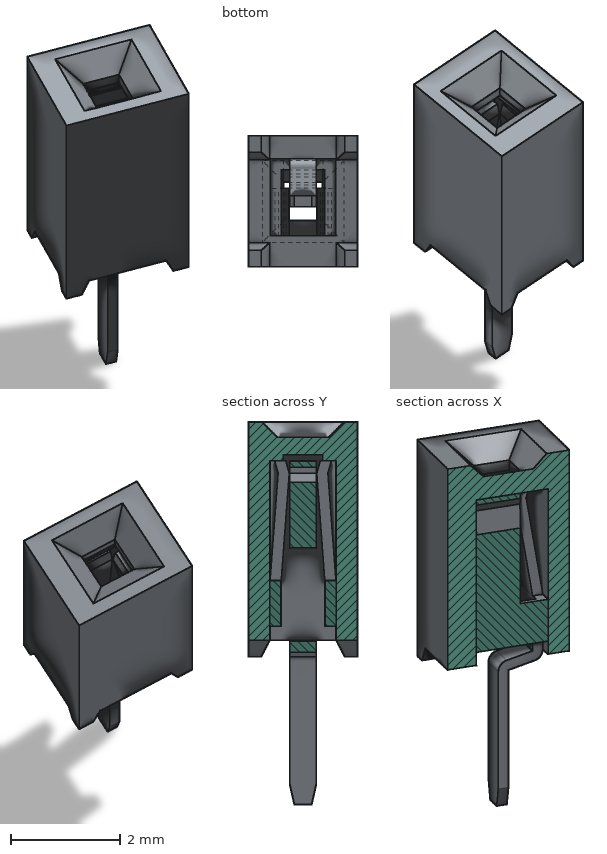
import cadquery as cq
import math


housing_x = 2.0
housing_y = 2.4
housing_top = 4.3
groove_depth = 0.3
groove_along_x_bottom = 1.79
groove_along_x_top = 1.51
groove_along_y_bottom = 1.525
groove_along_y_top = 1.22
bore_side = 0.7
funnel_side = 1.5
funnel_depth = (funnel_side - bore_side) / 2
lip_height = 0.2
relief_x = 0.715
lip_bottom = housing_top - funnel_depth - lip_height

sheet = 0.2
pin_width = 0.49
pin_bottom = housing_top - 7.0
pin_tip_width = 0.32
pin_tip_length = 0.38
step_angle = math.radians(12)
back_inner_y = -0.575
back_outer_y = back_inner_y - sheet
channel_inner_x = 0.4
channel_outer_x = channel_inner_x + sheet
channel_front_y = 0.63
channel_bottom = 0.56
channel_top = 1.4
arm_tip_gap = 0.11
arm_tip_z = lip_bottom - arm_tip_gap
pinch_z = arm_tip_z - 0.225
side_pinch_x = 0.25
side_tip_x = 0.315
side_arm_back_y = -0.24
back_pinch_y = -0.245
back_tip_y = -0.3


def groove(plane, bottom_width, top_width, length):
    """Tapered groove across the underside, extruded both ways from the plane."""
    outline = [
        (-bottom_width / 2, 0),
        (-top_width / 2, groove_depth),
        (top_width / 2, groove_depth),
        (bottom_width / 2, 0),
    ]
    return cq.Workplane(plane).polyline(outline).close().extrude(length / 2, both=True)


def cavity_box(width, top):
    """Box open at the underside, as deep in Y as the contact."""
    return (
        cq.Workplane("XY")
        .center(0, (back_outer_y + channel_front_y) / 2)
        .rect(width, channel_front_y - back_outer_y)
        .extrude(top)
    )


def make_housing():
    block = cq.Workplane("XY").box(housing_x, housing_y, housing_top, centered=(True, True, False))
    groove_along_x = groove("YZ", groove_along_x_bottom, groove_along_x_top, housing_x)
    groove_along_y = groove("XZ", groove_along_y_bottom, groove_along_y_top, housing_y)
    funnel = (
        cq.Workplane("XY", origin=(0, 0, housing_top))
        .rect(funnel_side, funnel_side)
        .workplane(offset=-funnel_depth)
        .rect(bore_side, bore_side)
        .loft(ruled=True)
    )
    bore = cq.Workplane("XY").box(bore_side, bore_side, housing_top, centered=(True, True, False))
    cavity = cavity_box(2 * channel_outer_x, arm_tip_z)
    relief = cavity_box(relief_x, lip_bottom)
    return block.cut(groove_along_x).cut(groove_along_y).cut(funnel).cut(bore).cut(cavity).cut(relief)


def arc_point(center, angle):
    """Point one sheet thickness from a bend centre, in the YZ plane."""
    return (center[0] + sheet * math.cos(angle), center[1] + sheet * math.sin(angle))


def make_pin():
    """Pin, sloping step and back wall: one strip with two bends of sharp inner corner."""
    lower_corner = (-sheet / 2, 0.0)
    normal = math.pi / 2 - step_angle
    lower_arc_end = arc_point(lower_corner, normal)
    upper_corner_z = lower_arc_end[1] + (lower_arc_end[0] - back_inner_y) * math.tan(step_angle)
    upper_corner = (back_inner_y, upper_corner_z)
    strip = (
        cq.Workplane("YZ")
        .moveTo(-sheet / 2, pin_bottom)
        .lineTo(*lower_corner)
        .lineTo(*arc_point(upper_corner, normal + math.pi))
        .threePointArc(
            arc_point(upper_corner, math.pi + normal / 2),
            (back_outer_y, upper_corner_z),
        )
        .lineTo(back_outer_y, channel_top)
        .lineTo(back_inner_y, channel_top)
        .lineTo(*upper_corner)
        .lineTo(*lower_arc_end)
        .threePointArc(arc_point(lower_corner, normal / 2), arc_point(lower_corner, 0))
        .lineTo(sheet / 2, pin_bottom)
        .close()
        .extrude(pin_width / 2, both=True)
    )
    taper_top = pin_bottom + pin_tip_length
    silhouette = (
        cq.Workplane("XZ")
        .polyline([
            (-pin_tip_width / 2, pin_bottom),
            (-pin_width / 2, taper_top),
            (-pin_width / 2, channel_top),
            (pin_width / 2, channel_top),
            (pin_width / 2, taper_top),
            (pin_tip_width / 2, pin_bottom),
        ])
        .close()
        .extrude(housing_y / 2, both=True)
    )
    return strip.intersect(silhouette)


def make_channel():
    """U-shaped wall section that carries the three arms."""
    return (
        cq.Workplane("XY", origin=(0, 0, channel_bottom))
        .polyline([
            (-channel_outer_x, channel_front_y),
            (-channel_outer_x, back_outer_y),
            (channel_outer_x, back_outer_y),
            (channel_outer_x, channel_front_y),
            (channel_inner_x, channel_front_y),
            (channel_inner_x, back_inner_y),
            (-channel_inner_x, back_inner_y),
            (-channel_inner_x, channel_front_y),
        ])
        .close()
        .extrude(channel_top - channel_bottom)
    )


def arm_outline(plane, root, pinch, tip, direction):
    """Arm that leans in to the pinch and flares to its tip; direction is its outward sign."""
    back = direction * sheet
    return (
        plane.polyline([
            (root, channel_top),
            (pinch, pinch_z),
            (tip, arm_tip_z),
            (tip + back, arm_tip_z),
            (pinch + back, pinch_z),
            (root + back, channel_top),
        ])
        .close()
    )


def make_side_arm(side):
    plane = cq.Workplane("XZ", origin=(0, channel_front_y, 0))
    outline = arm_outline(plane, side * channel_inner_x, side * side_pinch_x, side * side_tip_x, side)
    return outline.extrude(channel_front_y - side_arm_back_y)


def make_back_arm():
    outline = arm_outline(cq.Workplane("YZ"), back_inner_y, back_pinch_y, back_tip_y, -1)
    return outline.extrude(pin_width / 2, both=True)


def make_contact():
    contact = make_pin().union(make_channel()).union(make_back_arm())
    for side in (-1, 1):
        contact = contact.union(make_side_arm(side))
    return contact


housing = make_housing()
contact = make_contact()

result = cq.Compound.makeCompound([*housing.solids().vals(), *contact.solids().vals()])